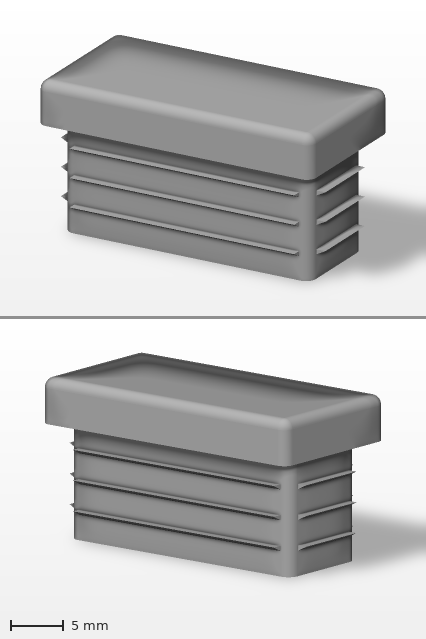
import cadquery as cq

cap_length = 30.0
cap_width = 15.0
total_height = 16.0

cap_height = 4.5
edge_radius = 1.0

stem_length = 27.0
stem_width = 10.0
stem_radius = 1.05
stem_height = total_height - cap_height

fin_count = 3
fin_pitch = 3.0
first_fin_drop = 2.5
fin_reach = 1.0
fin_thickness = 0.5
fin_end_gap = 1.2
fin_root = 0.15


def make_cap():
    """Rectangular head with rounded corners and a rounded top rim."""
    cap = cq.Workplane("XY").workplane(offset=stem_height)
    cap = cap.rect(cap_length, cap_width).extrude(cap_height)
    return cap.edges("|Z or >Z").fillet(edge_radius)


def make_stem():
    """Solid rectangular plug with rounded vertical corners."""
    stem = cq.Workplane("XY").rect(stem_length, stem_width).extrude(stem_height)
    return stem.edges("|Z").fillet(stem_radius)


def make_fin(face_distance, fin_length, top):
    """Wedge on the +X side, at face_distance from the stem axis."""
    profile = [
        (face_distance - fin_root, top),
        (face_distance + fin_reach, top),
        (face_distance, top - fin_thickness),
        (face_distance - fin_root, top - fin_thickness),
    ]
    return cq.Workplane("XZ").polyline(profile).close().extrude(fin_length / 2, both=True)


result = make_cap().union(make_stem())
for level in range(fin_count):
    fin_top = stem_height - first_fin_drop - level * fin_pitch
    end_fin = make_fin(stem_length / 2, stem_width - 2 * fin_end_gap, fin_top)
    side_fin = make_fin(stem_width / 2, stem_length - 2 * fin_end_gap, fin_top)
    for fin, angles in ((end_fin, (0, 180)), (side_fin, (90, 270))):
        for angle in angles:
            result = result.union(fin.rotate((0, 0, 0), (0, 0, 1), angle))